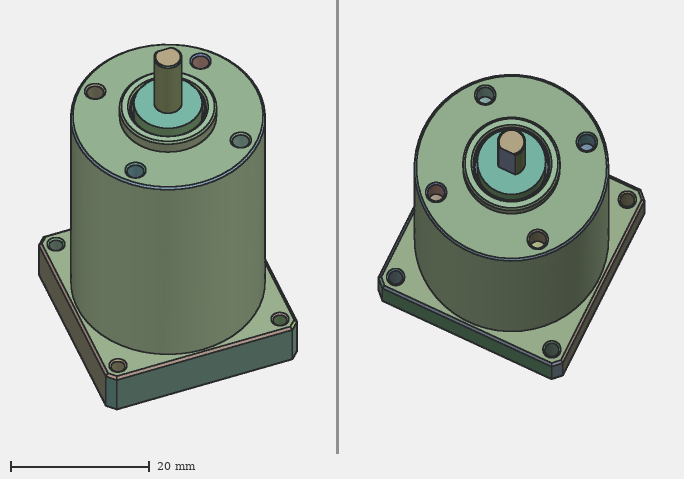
import cadquery as cq
import math

total_height = 55.8
fine_chamfer = 0.2
hole_chamfer = 0.3
rim_chamfer = 0.3
flange_chamfer = 0.4

flange_width = 29.5
flange_height = 7.0
flange_corner_cut = 1.2
flange_hole_diameter = 2.0
flange_hole_spacing = 25.0

barrel_diameter = 28.0
barrel_top = 43.0
boss_diameter = 14.0
boss_height = 2.0
boss_top = barrel_top + boss_height

bore_mouth_diameter = 11.0
bore_mouth_depth = 0.7
bore_diameter = 10.6
bore_depth = 3.0
bore_floor = boss_top - bore_depth

mount_hole_diameter = 2.45
mount_hole_depth = 5.0
mount_circle_diameter = 23.0
drill_point_angle = 118.0

shaft_diameter = 4.0
shaft_length = 10.0
shaft_flat_offset = 1.5
collar_diameter = 9.8
collar_top = total_height - shaft_length


def cylinder(diameter, bottom, top):
    """Vertical cylinder on the motor axis."""
    return cq.Workplane("XY").workplane(offset=bottom).circle(diameter / 2).extrude(top - bottom)


def make_flange():
    """Square flange with cut corners and chamfered faces."""
    return (
        cq.Workplane("XY")
        .rect(flange_width, flange_width)
        .extrude(flange_height)
        .edges("|Z")
        .chamfer(flange_corner_cut)
        .faces(">Z")
        .chamfer(flange_chamfer)
        .faces("<Z")
        .chamfer(fine_chamfer)
    )


def drill_cutter(diameter, chamfer, top, depth, through):
    """Revolved drill with a chamfered mouth and a flat or conical end."""
    radius = diameter / 2
    point_length = 0 if through else radius / math.tan(math.radians(drill_point_angle / 2))
    return (
        cq.Workplane("XZ")
        .moveTo(0, top)
        .lineTo(radius + chamfer, top)
        .lineTo(radius, top - chamfer)
        .lineTo(radius, top - depth)
        .lineTo(0, top - depth - point_length)
        .close()
        .revolve(360, (0, 0, 0), (0, 1, 0))
    )


def cut_square_pattern(body, cutter, spacing):
    """Cut one copy of the cutter at each corner of a centred square."""
    for x_side in (-1, 1):
        for y_side in (-1, 1):
            body = body.cut(cutter.translate((x_side * spacing / 2, y_side * spacing / 2, 0)))
    return body


def make_housing():
    """Flange, barrel and boss with the mounting holes and the collar bore."""
    barrel = cylinder(barrel_diameter, flange_height, barrel_top).faces(">Z").chamfer(rim_chamfer)
    boss = cylinder(boss_diameter, bore_floor, boss_top).faces(">Z").chamfer(rim_chamfer)
    body = make_flange().union(barrel).union(boss)

    flange_drill = drill_cutter(flange_hole_diameter, hole_chamfer, flange_height, flange_height, True)
    body = cut_square_pattern(body, flange_drill, flange_hole_spacing)
    mount_drill = drill_cutter(mount_hole_diameter, hole_chamfer, barrel_top, mount_hole_depth, False)
    body = cut_square_pattern(body, mount_drill, mount_circle_diameter / math.sqrt(2))

    bore = cylinder(bore_diameter, bore_floor, boss_top)
    mouth = cylinder(bore_mouth_diameter, boss_top - bore_mouth_depth, boss_top)
    mouth_chamfer = (
        cq.Workplane("XY")
        .workplane(offset=boss_top)
        .circle(bore_mouth_diameter / 2 + rim_chamfer)
        .workplane(offset=-rim_chamfer)
        .circle(bore_mouth_diameter / 2)
        .loft()
    )
    return body.cut(bore).cut(mouth).cut(mouth_chamfer)


def make_shaft():
    """D-shaped shaft on a round collar that rests on the bore floor."""
    spindle = cylinder(shaft_diameter, collar_top, total_height).faces(">Z").chamfer(fine_chamfer)
    flat_side = (
        cq.Workplane("XY")
        .workplane(offset=collar_top)
        .center(-shaft_flat_offset - shaft_diameter / 2, 0)
        .rect(shaft_diameter, 2 * shaft_diameter)
        .extrude(shaft_length)
    )
    collar = cylinder(collar_diameter, bore_floor, collar_top)
    return collar.union(spindle.cut(flat_side))


housing = make_housing()
shaft = make_shaft()
result = cq.Compound.makeCompound([housing.val(), shaft.val()])